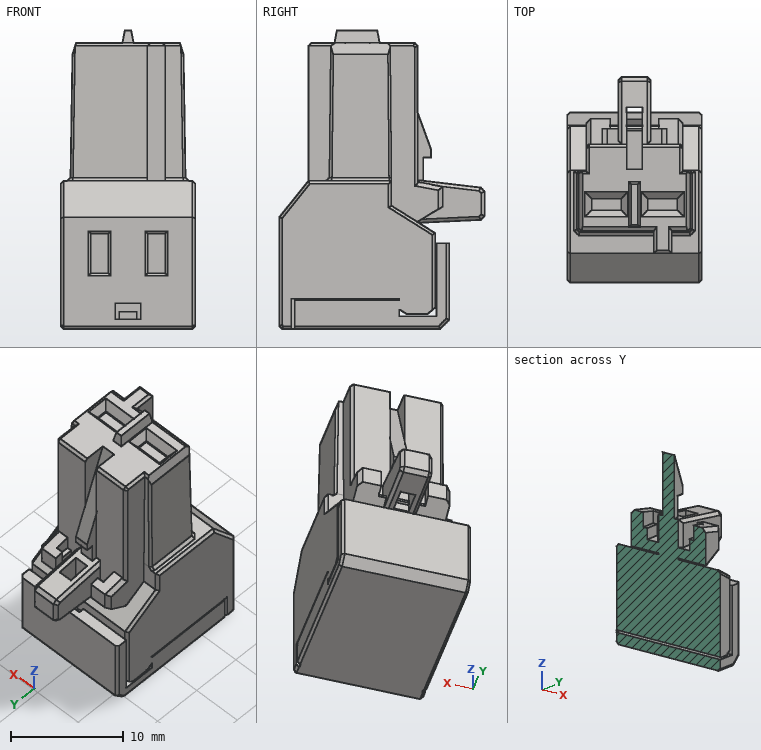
import cadquery as cq


HALF_WIDTH = 6.0
EDGE_CHAMFER = 0.27
BASE_TOP = 13.17
FRONT_BEND_Z = 9.93
FRONT_SLOPE_DEPTH = 2.6
SHOULDER_Y = 9.98
SHOULDER_Z = 10.97
BASE_REAR_Y = 13.89
BASE_REAR_Z = 8.52
HEEL_Z = 1.33
HEEL_FRONT_CHAMFER = (0.65, 0.4)
HEEL_REAR_CHAMFER = (0.7, 0.58)

CLIP_FRONT_Y = 1.38
CLIP_REAR_Y = 15.13
CLIP_TOP = 7.65
CLIP_CORNER = 0.82
CLIP_LEAD_IN = 0.53
CLIP_FLOOR = 1.15
CLIP_INNER_Y = 14.0
CLIP_STEP_Y = 10.7
CLIP_STEP_Z = 2.58
SEAM_DEPTH = 0.32
SEAM_HEIGHT = 0.1
SEAM_WIDTH = 0.32

TOWER_TOP = 25.43
TOWER_FOOT_HALF = 5.12
TOWER_FOOT_FRONT_Y = 4.45
TOWER_HEAD_HALF = 4.95
TOWER_HEAD_FRONT_Y = 4.6
TOWER_HEAD_STEP_Y = 9.88
REAR_CORNER_CHAMFER = 0.2
CORNER_CHAMFER = 0.25
FLARE_CORNER_CHAMFER = 0.48
FOOT_FLARE = 0.3
SIDE_BEVEL_WIDTH = 0.32
SIDE_BEVEL_HEIGHT = 1.0
FRONT_BEVEL_DEPTH = 0.37
TOP_CHAMFER = 0.27

REAR_HALF = 4.3
REAR_Y = 12.32
BUMP_Y = 14.55
BUMP_TOP = 12.66
BUMP_BOTTOM = 10.89
BUMP_UNDERSIDE_Z = 9.55
BUMP_SHOULDER_Z = 13.1
REAR_CHAMFER = 0.27
BUMP_CHAMFER = 0.4
BUMP_GAP_HALF = 2.18
RECESS_REAR_Y = 13.7
RECESS_FLOOR_Z = 10.62
RECESS_FLOOR_HALF = 2.42
RECESS_STEP_HALF = 2.87
RECESS_STEP_Z = 11.68

JOINT_OVERLAP = 1.05

RIB_LEFT = 1.73
RIB_WIDTH = 1.6

ARM_HALF = 1.45
ARM_TIP_Y = 18.3
ARM_TIP_CHAMFER = 0.37
ARM_TIP_TOP = 12.58
ARM_TIP_BOTTOM = 9.7
ARM_ROOT_TOP = 13.25
ARM_ROOT_BOTTOM = 9.43
ARM_EDGE_CHAMFER = 0.32
LATCH_HALF = 0.7
LATCH_Y = 13.51
LATCH_BOTTOM = 15.25
LATCH_RAMP_END_Z = 15.98
LATCH_NOTCH_Y = 10.05
LATCH_POST_Y = 12.82
ARM_SLOT_END_Y = 15.58

BLADE_TOP = 26.55
BLADE_FRONT_Y = 4.9
BLADE_REAR_Y = 8.95
BLADE_THICKNESS = 1.0
BLADE_TIP_THICKNESS = 0.58
BLADE_END_SLOPE = 0.2

WELL_X = 2.5
WELL_Y = 6.95
WELL_SIZE = (3.82, 2.23)
WELL_THROAT = (2.65, 1.04)
WELL_FUNNEL_DEPTH = 0.8
WELL_DEPTH = 0.95
WINDOW_X = 2.52
WINDOW_Z = 6.72
WINDOW_SIZE = (2.0, 3.93)
WINDOW_FLOOR = (1.55, 3.53)
WINDOW_DEPTH = 0.27
SLOT_HALF = 1.15
SLOT_BOTTOM = 0.88
SLOT_STEP_Z = 1.55
SLOT_TOP = 2.3
SLOT_STEP_DEPTH = 0.65
SLOT_DEPTH = 0.8
SLOT_INNER_HALF = 0.8


def side_prism(points, half_width):
    """Extrude a (Y, Z) outline symmetrically about X = 0."""
    return cq.Workplane("YZ").polyline(points).close().extrude(half_width, both=True)


def block(x_range, y_range, z_range):
    """Box between the given limits."""
    size = [high - low for low, high in (x_range, y_range, z_range)]
    return cq.Workplane("XY").box(*size, centered=False).translate((x_range[0], y_range[0], z_range[0]))


def funnel(plane, center, mouth, throat, depth):
    """Tapered pocket running from the mouth rectangle to the throat rectangle."""
    return (
        cq.Workplane(plane)
        .center(*center)
        .rect(*mouth)
        .workplane(offset=depth)
        .rect(*throat)
        .loft(combine=True)
    )


def make_base():
    outline = [
        (EDGE_CHAMFER, 0),
        (0, EDGE_CHAMFER),
        (0, FRONT_BEND_Z),
        (FRONT_SLOPE_DEPTH, BASE_TOP),
        (SHOULDER_Y, BASE_TOP),
        (SHOULDER_Y, SHOULDER_Z),
        (BASE_REAR_Y, BASE_REAR_Z),
        (BASE_REAR_Y, 0),
    ]
    return side_prism(outline, HALF_WIDTH).faces("<X or >X").chamfer(EDGE_CHAMFER)


def make_clip():
    outline = [
        (CLIP_FRONT_Y, 0),
        (CLIP_REAR_Y - CLIP_CORNER, 0),
        (CLIP_REAR_Y, CLIP_CORNER),
        (CLIP_REAR_Y, CLIP_TOP),
        (CLIP_FRONT_Y, CLIP_TOP),
    ]
    clip = side_prism(outline, HALF_WIDTH).faces("<X or >X").edges("not >Z").chamfer(EDGE_CHAMFER)
    across = (-HALF_WIDTH, HALF_WIDTH)
    clip = clip.cut(block(across, (CLIP_STEP_Y, CLIP_INNER_Y), (CLIP_FLOOR, CLIP_TOP)))
    clip = clip.cut(block(across, (0, CLIP_STEP_Y), (CLIP_STEP_Z, CLIP_TOP)))
    lead_in = [
        (CLIP_INNER_Y, CLIP_TOP),
        (CLIP_INNER_Y + CLIP_LEAD_IN, CLIP_TOP),
        (CLIP_INNER_Y, CLIP_TOP - CLIP_LEAD_IN),
    ]
    return clip.cut(side_prism(lead_in, LATCH_HALF))


def make_clip_gap():
    """Clearance between the clip and the chamfered rear heel of the base."""
    outline = [
        (CLIP_STEP_Y, CLIP_FLOOR),
        (CLIP_STEP_Y, HEEL_Z + HEEL_FRONT_CHAMFER[1]),
        (CLIP_STEP_Y + HEEL_FRONT_CHAMFER[0], HEEL_Z),
        (BASE_REAR_Y - HEEL_REAR_CHAMFER[0], HEEL_Z),
        (BASE_REAR_Y, HEEL_Z + HEEL_REAR_CHAMFER[1]),
        (BASE_REAR_Y, CLIP_TOP),
        (CLIP_INNER_Y, CLIP_TOP),
        (CLIP_INNER_Y, CLIP_FLOOR),
    ]
    return side_prism(outline, HALF_WIDTH)


def make_seams():
    """Shallow parting grooves between clip and base on both sides."""
    seams = cq.Workplane("XY")
    seam_front = CLIP_FRONT_Y - SEAM_WIDTH
    for x_range in ((-HALF_WIDTH, SEAM_DEPTH - HALF_WIDTH), (HALF_WIDTH - SEAM_DEPTH, HALF_WIDTH)):
        seams = seams.add(block(x_range, (seam_front, CLIP_FRONT_Y), (0, CLIP_STEP_Z)))
        seams = seams.add(block(x_range, (seam_front, CLIP_STEP_Y), (CLIP_STEP_Z, CLIP_STEP_Z + SEAM_HEIGHT)))
    return seams.combine()


def tower_section(half_width, front_y, step_y, corner=CORNER_CHAMFER):
    """Outline of the tower with its chamfered corners."""
    return [
        (REAR_CORNER_CHAMFER - half_width, step_y),
        (-half_width, step_y - REAR_CORNER_CHAMFER),
        (-half_width, front_y + corner),
        (corner - half_width, front_y),
        (half_width - corner, front_y),
        (half_width, front_y + corner),
        (half_width, step_y - REAR_CORNER_CHAMFER),
        (half_width - REAR_CORNER_CHAMFER, step_y),
    ]


def loft_tower(bottom, bottom_z, top, top_z):
    lower = cq.Workplane("XY").workplane(offset=bottom_z).polyline(bottom).close()
    return lower.workplane(offset=top_z - bottom_z).polyline(top).close().loft(ruled=True)


def make_tower():
    """Front half of the tower: drafted walls, flared foot and bevelled top edges."""
    foot_z = BASE_TOP + FOOT_FLARE
    flare = tower_section(
        TOWER_FOOT_HALF + FOOT_FLARE, TOWER_FOOT_FRONT_Y - FOOT_FLARE, SHOULDER_Y, FLARE_CORNER_CHAMFER
    )
    foot = tower_section(TOWER_FOOT_HALF, TOWER_FOOT_FRONT_Y, SHOULDER_Y)
    head = tower_section(TOWER_HEAD_HALF, TOWER_HEAD_FRONT_Y, TOWER_HEAD_STEP_Y)
    tower = loft_tower(foot, foot_z, head, TOWER_TOP).union(loft_tower(flare, BASE_TOP, foot, foot_z))

    front_bevel = [
        (0, TOWER_TOP),
        (TOWER_HEAD_FRONT_Y + FRONT_BEVEL_DEPTH, TOWER_TOP),
        (TOWER_HEAD_FRONT_Y, TOWER_TOP - TOP_CHAMFER),
        (0, TOWER_TOP - TOP_CHAMFER),
    ]
    rear_bevel = [
        (TOWER_HEAD_STEP_Y - REAR_CORNER_CHAMFER, TOWER_TOP),
        (SHOULDER_Y, TOWER_TOP),
        (SHOULDER_Y, TOWER_TOP - TOP_CHAMFER),
        (TOWER_HEAD_STEP_Y, TOWER_TOP - TOP_CHAMFER),
    ]
    tower = tower.cut(side_prism(front_bevel, HALF_WIDTH)).cut(side_prism(rear_bevel, HALF_WIDTH))
    for side in (-1, 1):
        side_bevel = [
            (side * (TOWER_HEAD_HALF - SIDE_BEVEL_WIDTH), TOWER_TOP),
            (side * TOWER_HEAD_HALF, TOWER_TOP - SIDE_BEVEL_HEIGHT),
            (side * HALF_WIDTH, TOWER_TOP - SIDE_BEVEL_HEIGHT),
            (side * HALF_WIDTH, TOWER_TOP),
        ]
        tower = tower.cut(cq.Workplane("XZ").polyline(side_bevel).close().extrude(-SHOULDER_Y))
    return tower


def make_rear():
    """Narrow rear half of the tower."""
    inside_y = TOWER_HEAD_STEP_Y - JOINT_OVERLAP
    outline = [
        (inside_y, TOWER_TOP),
        (REAR_Y - REAR_CHAMFER, TOWER_TOP),
        (REAR_Y, TOWER_TOP - REAR_CHAMFER),
        (REAR_Y, CLIP_TOP),
        (inside_y, CLIP_TOP),
    ]
    return side_prism(outline, REAR_HALF).faces("<X or >X").chamfer(REAR_CHAMFER)


def make_bumps():
    """Two bumps at the rear foot of the tower, parted by a gap that widens towards the tower."""
    inside_y = REAR_Y - JOINT_OVERLAP
    outline = [
        (inside_y, BUMP_SHOULDER_Z),
        (REAR_Y, BUMP_SHOULDER_Z),
        (BUMP_Y, BUMP_TOP),
        (BUMP_Y, CLIP_TOP),
        (inside_y, CLIP_TOP),
    ]
    bumps = side_prism(outline, REAR_HALF).faces("<X or >X").chamfer(BUMP_CHAMFER)
    underside = [
        (inside_y, CLIP_TOP),
        (inside_y, BUMP_UNDERSIDE_Z),
        (REAR_Y, BUMP_UNDERSIDE_Z),
        (BUMP_Y, BUMP_BOTTOM),
        (BUMP_Y, CLIP_TOP),
    ]
    bumps = bumps.cut(side_prism(underside, REAR_HALF))
    gap_sizes = (
        (BUMP_GAP_HALF, (RECESS_REAR_Y, BUMP_Y), CLIP_TOP),
        (RECESS_STEP_HALF, (REAR_Y, RECESS_REAR_Y), RECESS_STEP_Z),
        (RECESS_FLOOR_HALF, (REAR_Y, RECESS_REAR_Y), RECESS_FLOOR_Z),
    )
    for half_width, y_range, floor_z in gap_sizes:
        bumps = bumps.cut(block((-half_width, half_width), y_range, (floor_z, BUMP_SHOULDER_Z)))
    return bumps


def make_rib():
    rear_y = WELL_Y - WELL_SIZE[1] / 2
    rib = block((RIB_LEFT, RIB_LEFT + RIB_WIDTH), (FRONT_SLOPE_DEPTH, rear_y), (BASE_TOP, TOWER_TOP))
    return rib.faces(">Z").edges("not >Y").chamfer(TOP_CHAMFER)


def make_arm():
    outline = [
        (REAR_Y, ARM_ROOT_TOP),
        (ARM_TIP_Y - ARM_TIP_CHAMFER, ARM_TIP_TOP),
        (ARM_TIP_Y, ARM_TIP_TOP - ARM_TIP_CHAMFER),
        (ARM_TIP_Y, ARM_TIP_BOTTOM + ARM_TIP_CHAMFER),
        (ARM_TIP_Y - ARM_TIP_CHAMFER, ARM_TIP_BOTTOM),
        (REAR_Y, ARM_ROOT_BOTTOM),
    ]
    arm = side_prism(outline, ARM_HALF).faces("<X or >X").chamfer(ARM_EDGE_CHAMFER)
    slot = block((-LATCH_HALF, LATCH_HALF), (LATCH_Y, ARM_SLOT_END_Y), (0, TOWER_TOP))
    return arm.cut(slot)


def make_latch():
    outline = [
        (LATCH_NOTCH_Y, TOWER_TOP),
        (LATCH_Y, LATCH_RAMP_END_Z),
        (LATCH_Y, LATCH_BOTTOM),
        (LATCH_POST_Y, LATCH_BOTTOM),
        (LATCH_POST_Y, RECESS_FLOOR_Z),
        (LATCH_NOTCH_Y, RECESS_FLOOR_Z),
    ]
    return side_prism(outline, LATCH_HALF)


def make_blade():
    length = BLADE_REAR_Y - BLADE_FRONT_Y
    return funnel(
        cq.Plane((0, 0, TOWER_TOP)),
        (0, (BLADE_FRONT_Y + BLADE_REAR_Y) / 2),
        (BLADE_THICKNESS, length),
        (BLADE_TIP_THICKNESS, length - 2 * BLADE_END_SLOPE),
        BLADE_TOP - TOWER_TOP,
    )


result = make_base().union(make_clip()).cut(make_clip_gap()).cut(make_seams())
result = result.union(make_tower()).union(make_rear()).union(make_bumps())

notch = block((-LATCH_HALF, LATCH_HALF), (LATCH_NOTCH_Y, BUMP_Y), (BASE_TOP, TOWER_TOP))
result = result.cut(notch).union(make_latch())
result = result.union(make_rib()).union(make_arm()).union(make_blade())

top_plane = cq.Plane((0, 0, TOWER_TOP), (1, 0, 0), (0, 0, -1))
front_plane = cq.Plane((0, 0, 0), (1, 0, 0), (0, 1, 0))
for side in (-1, 1):
    well_center = (side * WELL_X, -WELL_Y)
    result = result.cut(funnel(top_plane, well_center, WELL_SIZE, WELL_THROAT, WELL_FUNNEL_DEPTH))
    result = result.cut(cq.Workplane(top_plane).center(*well_center).rect(*WELL_THROAT).extrude(WELL_DEPTH))
    window_center = (side * WINDOW_X, -WINDOW_Z)
    result = result.cut(funnel(front_plane, window_center, WINDOW_SIZE, WINDOW_FLOOR, WINDOW_DEPTH))

upper_slot = block((-SLOT_HALF, SLOT_HALF), (0, SLOT_STEP_DEPTH), (SLOT_BOTTOM, SLOT_TOP))
lower_slot = block((-SLOT_INNER_HALF, SLOT_INNER_HALF), (0, SLOT_DEPTH), (SLOT_BOTTOM, SLOT_STEP_Z))
result = result.cut(upper_slot).cut(lower_slot)